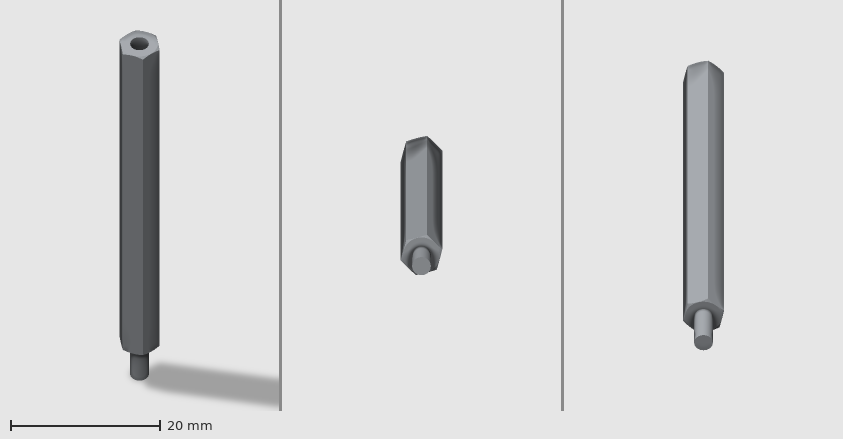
import cadquery as cq
import math

TOTAL_LENGTH = 61.0
STUD_LENGTH = 6.0
ACROSS_FLATS = 5.0
THREAD_DIAMETER = 2.5
HOLE_DEPTH = STUD_LENGTH
END_FACE_DIAMETER = 4.95
CHAMFER_ANGLE = 30.0

HEX_LENGTH = TOTAL_LENGTH - STUD_LENGTH
ACROSS_CORNERS = ACROSS_FLATS / math.cos(math.radians(30))


def make_chamfer_envelope():
    """Turned blank with conical ends that trims the corners of the hexagon."""
    end_radius = END_FACE_DIAMETER / 2
    corner_radius = ACROSS_CORNERS / 2
    chamfer_height = (corner_radius - end_radius) * math.tan(math.radians(CHAMFER_ANGLE))
    return (
        cq.Workplane("XZ")
        .moveTo(0, 0)
        .lineTo(end_radius, 0)
        .lineTo(corner_radius, chamfer_height)
        .lineTo(corner_radius, HEX_LENGTH - chamfer_height)
        .lineTo(end_radius, HEX_LENGTH)
        .lineTo(0, HEX_LENGTH)
        .close()
        .revolve(360, (0, 0, 0), (0, 1, 0))
    )


def make_spacer():
    """Hexagonal spacer with chamfered ends and a blind hole in its top."""
    hexagon = (
        cq.Workplane("XY")
        .polygon(6, ACROSS_CORNERS)
        .extrude(HEX_LENGTH)
        .rotate((0, 0, 0), (0, 0, 1), 90)
    )
    hole = (
        cq.Workplane("XY")
        .workplane(offset=HEX_LENGTH - HOLE_DEPTH)
        .circle(THREAD_DIAMETER / 2)
        .extrude(HOLE_DEPTH)
    )
    return hexagon.intersect(make_chamfer_envelope()).cut(hole)


def make_stud():
    """Plain round stud standing on the underside of the spacer."""
    return cq.Workplane("XY").circle(THREAD_DIAMETER / 2).extrude(-STUD_LENGTH)


spacer = make_spacer()
stud = make_stud()

result = cq.Compound.makeCompound([spacer.solids().val(), stud.val()])